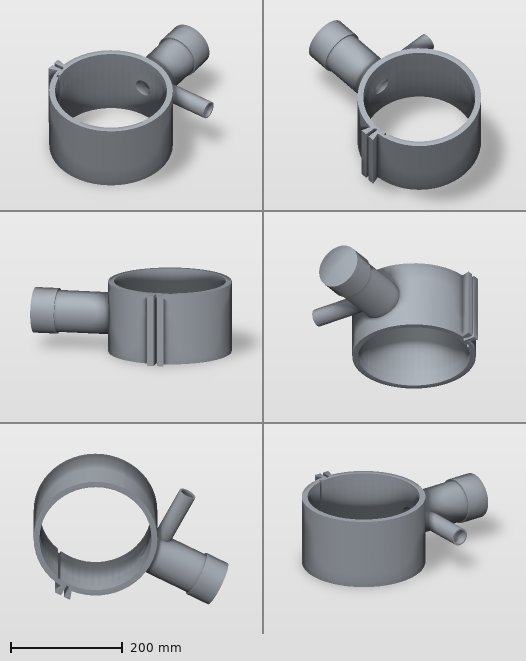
import cadquery as cq
import math

overall_length = 361.3

ring_height = 128.0
ring_outer_radius = 110.5
ring_inner_radius = 100.0

lug_reach = 126.5
lug_end_half_width = 15.0
lug_root_half_width = 9.8
split_half_width = 3.3
lap_radius = 105.0
lap_clearance = 0.5
tongue_end_y = -18.5
notch_end_y = -25.3
split_corner_radius = 3.5
notch_corner_radius = 3.0

pipe_radius = 37.5
cap_radius = 41.0
cap_start_y = 203.8
cap_rim_y = 246.8
cap_top_y = overall_length - ring_outer_radius

tube_radius = 16.0
tube_axis_y = 117.8
tube_end_x = 130.0
inlet_radius = 16.0
tube_bore_radius = 13.0


def ring_base_plane():
    """Workplane on the lower face of the ring."""
    return cq.Workplane("XY", origin=(0, 0, -ring_height / 2))


def upright_cylinder(radius):
    """Cylinder on the ring axis, as tall as the ring."""
    return ring_base_plane().circle(radius).extrude(ring_height)


def upright_prism(points):
    """Prism of the ring's height over a polygon."""
    return ring_base_plane().polyline(points).close().extrude(ring_height)


def y_cylinder(radius, start, end):
    """Cylinder on the Y axis between two Y positions."""
    return cq.Workplane("XZ", origin=(0, start, 0)).circle(radius).extrude(start - end)


def x_cylinder(radius, start, end):
    """Cylinder on the side tube's axis between two X positions."""
    return cq.Workplane("YZ", origin=(start, tube_axis_y, 0)).circle(radius).extrude(end - start)


def circle_x(radius, y):
    """X of the point at height y on the left half of a circle about the origin."""
    return -math.sqrt(radius**2 - y**2)


def make_lug(side):
    """Flared lug above (side = 1) or below (side = -1) the split."""
    root_x = circle_x(ring_outer_radius, lug_root_half_width)
    return upright_prism([
        (-lug_reach, side * split_half_width),
        (-lug_reach, side * lug_end_half_width),
        (root_x, side * lug_root_half_width),
        (-lap_radius, side * lug_root_half_width),
        (-lap_radius, side * split_half_width),
    ])


def make_split_cut():
    """Z-shaped gap: the slot between the lugs, the lap clearance and the notch."""
    tongue_radius = lap_radius - lap_clearance
    slot_end_x = circle_x(tongue_radius, 0)
    notch_side_x = circle_x(lap_radius, notch_end_y + notch_corner_radius)
    bore_x = circle_x(ring_inner_radius, notch_end_y) + lap_clearance
    outline = (
        ring_base_plane()
        .moveTo(-lug_reach, split_half_width)
        .lineTo(slot_end_x - split_corner_radius, split_half_width)
        .radiusArc((slot_end_x, split_half_width - split_corner_radius), split_corner_radius)
        .threePointArc(
            (circle_x(tongue_radius, tongue_end_y / 2), tongue_end_y / 2),
            (circle_x(tongue_radius, tongue_end_y), tongue_end_y),
        )
        .lineTo(bore_x, tongue_end_y)
        .lineTo(bore_x, notch_end_y)
        .lineTo(notch_side_x + notch_corner_radius, notch_end_y)
        .radiusArc((notch_side_x, notch_end_y + notch_corner_radius), notch_corner_radius)
        .threePointArc(
            (circle_x(lap_radius, notch_end_y / 2), notch_end_y / 2),
            (circle_x(lap_radius, -split_half_width), -split_half_width),
        )
        .lineTo(-lug_reach, -split_half_width)
        .close()
    )
    return outline.extrude(ring_height)


def make_cap():
    """Cap with a shallow domed end, revolved about the Y axis."""
    dome_height = cap_top_y - cap_rim_y
    dome_radius = (cap_radius**2 + dome_height**2) / (2 * dome_height)
    return (
        cq.Workplane("XY")
        .moveTo(0, cap_start_y)
        .lineTo(cap_radius, cap_start_y)
        .lineTo(cap_radius, cap_rim_y)
        .radiusArc((0, cap_top_y), -dome_radius)
        .close()
        .revolve(360, (0, 0, 0), (0, 1, 0))
    )


body = upright_cylinder(ring_outer_radius)
for lug_side in (1, -1):
    body = body.union(make_lug(lug_side))
body = body.union(y_cylinder(pipe_radius, 0, cap_start_y)).union(make_cap())
body = body.union(x_cylinder(tube_radius, 0, tube_end_x))

body = body.cut(upright_cylinder(ring_inner_radius))
body = body.cut(make_split_cut())
body = body.cut(y_cylinder(inlet_radius, 0, tube_axis_y))
result = body.cut(x_cylinder(tube_bore_radius, 0, tube_end_x)).clean()